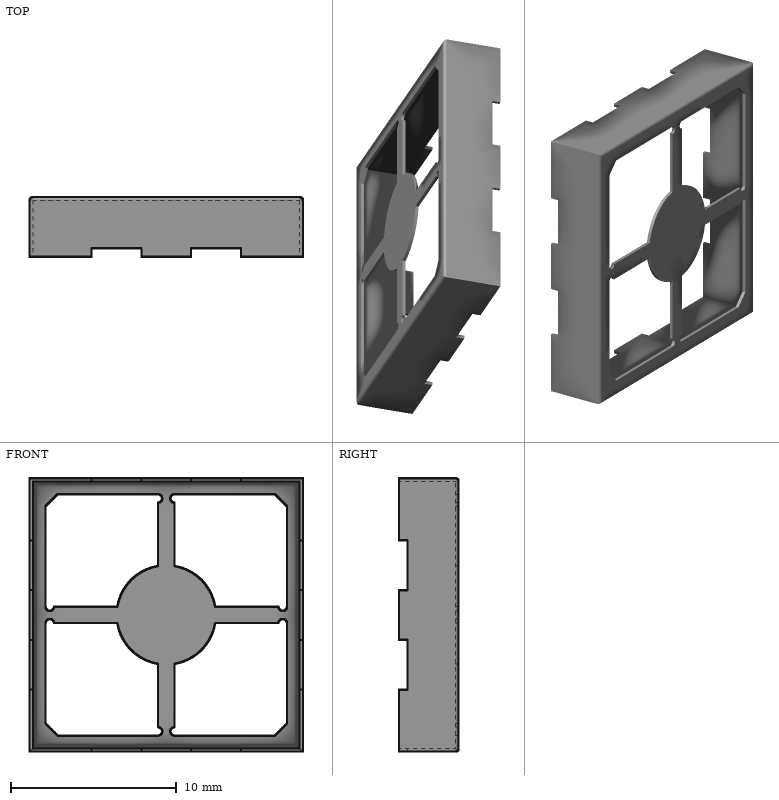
import cadquery as cq

side = 16.5
depth = 3.61
sheet = 0.2
bend_radius = 0.2

window_side = 14.55
window_chamfer = 0.72

disc_radius = 3.0
arm_width = 1.0
relief_radius = 0.25

notch_width = 3.0
notch_depth = 0.51
notch_offset = 3.0

free_edge_y = -depth / 2
face_inside_y = depth / 2 - sheet
quarter_turns = (0, 90, 180, 270)


def make_shell():
    """Square tray, open towards -Y, with a rounded rim around its face."""
    outer = cq.Workplane("XY").box(side, depth, side).faces(">Y").edges().fillet(bend_radius)
    cavity_side = side - 2 * sheet
    cavity = cq.Workplane("XY").box(cavity_side, depth, cavity_side).translate((0, -sheet, 0))
    return outer.cut(cavity)


def face_workplane():
    """Sketch plane on the inside of the face; extruding by -sheet goes towards +Y."""
    return cq.Workplane("XZ", origin=(0, face_inside_y, 0))


def make_window():
    """Square opening with chamfered corners."""
    square = face_workplane().rect(window_side, window_side).extrude(-sheet)
    return square.edges("|Y").chamfer(window_chamfer)


def make_spider():
    """Central disc with four arms, spanning just past the opening."""
    arm_length = window_side + 2 * relief_radius
    spider = face_workplane().circle(disc_radius).extrude(-sheet)
    spider = spider.union(face_workplane().rect(arm_length, arm_width).extrude(-sheet))
    return spider.union(face_workplane().rect(arm_width, arm_length).extrude(-sheet))


def make_arm_reliefs():
    """Round cuts on both flanks of every arm, tangent to the opening's edge."""
    relief_reach = window_side / 2 - relief_radius
    flank = arm_width / 2
    pair = (
        face_workplane()
        .pushPoints([(-flank, relief_reach), (flank, relief_reach)])
        .circle(relief_radius)
        .extrude(-sheet)
    )
    reliefs = cq.Workplane("XY")
    for angle in quarter_turns:
        reliefs = reliefs.add(pair.rotate((0, 0, 0), (0, 1, 0), angle))
    return reliefs.combine()


def cut_wall_notches(body):
    """Two notches in the free edge of each of the four walls."""
    for angle in quarter_turns:
        for offset in (-notch_offset, notch_offset):
            notch = cq.Workplane("XY").box(notch_width, 2 * notch_depth, 2 * sheet)
            notch = notch.translate((offset, free_edge_y, side / 2))
            body = body.cut(notch.rotate((0, 0, 0), (0, 1, 0), angle))
    return body


frame = make_shell().cut(make_window())
frame = frame.union(make_spider()).cut(make_arm_reliefs())
result = cut_wall_notches(frame)